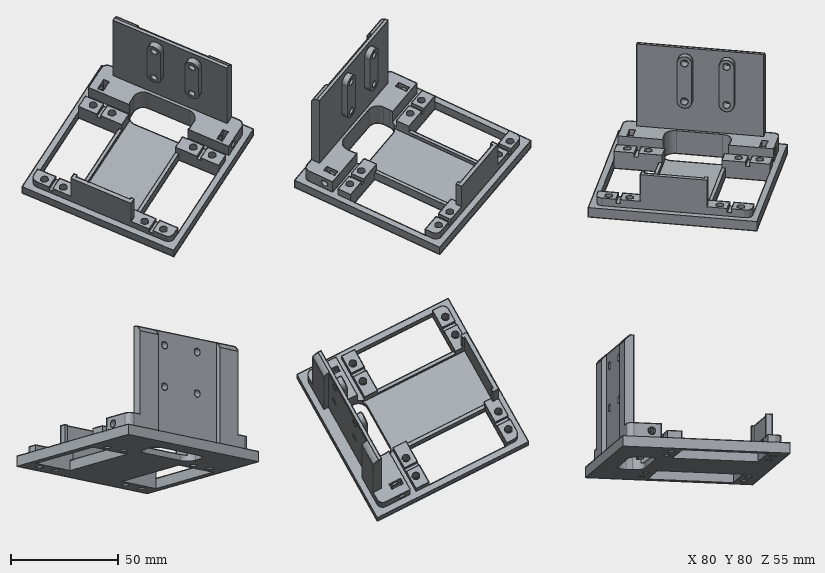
import cadquery as cq

side = 80.0
base_thickness = 5.0
margin = 3.0
inner_half = side / 2 - margin
corner_radius = margin
bay_width = 31.7

tray_width = 28.3
tray_depth = 2.0
tray_front = -35.0

block_depth = 16.0
block_top = 12.0
block_front = inner_half - block_depth
opening_rear = 31.0
opening_radius = 5.0

bar_depth = 6.9
bar_top = 9.0
bar_gap = margin
rear_bar_rear = block_front - bar_gap
rear_bar_front = rear_bar_rear - bar_depth
front_bar_rear = -inner_half + bar_depth

screw_diameter = 3.5
bar_hole_x = (21.4, 31.4)
rear_hole_y = 15.0
front_hole_y = -33.9
groove_width = 2.0
groove_depth = 2.1
groove_x = sum(bar_hole_x) / 2

wall_thickness = margin
wall_top = 23.0

plate_width = 60.2
plate_thickness = 4.5
plate_top = 55.0
plate_front = inner_half - plate_thickness
crown_size = 2.9
crown_radius = 5.6
recess_width = 37.8
recess_depth = 2.4

boss_width = 7.0
boss_height = 3.0
boss_hole_spacing = 20.0
boss_offset_x = 3.0
boss_centre_z = 38.5

trap_width = 2.8
trap_length = 5.9
trap_x = 31.4
trap_y = 25.4
side_hole_z = (base_thickness + block_top) / 2
side_hole_depth = 10.0


def box(x_min, x_max, y_min, y_max, z_min, z_max):
    """Axis-aligned box between the given limits."""
    size = (x_max - x_min, y_max - y_min, z_max - z_min)
    return cq.Workplane("XY").box(*size, centered=False).translate((x_min, y_min, z_min))


def centred_box(width, y_min, y_max, z_min, z_max):
    """Box that is symmetrical about the YZ plane."""
    return box(-width / 2, width / 2, y_min, y_max, z_min, z_max)


def make_base():
    """Square plate with a window on each side of the central strip."""
    base = centred_box(side, -side / 2, side / 2, 0, base_thickness)
    window = box(bay_width / 2, inner_half, front_bar_rear, rear_bar_front, 0, base_thickness)
    return base.cut(window).cut(window.mirror("YZ"))


def make_bars_and_block():
    """Front bar, rear bar and rear block; the outermost corners are rounded."""
    width = 2 * inner_half
    front_bar = centred_box(width, -inner_half, front_bar_rear, base_thickness, bar_top)
    front_bar = front_bar.edges("|Z and <Y").fillet(corner_radius)
    rear_bar = centred_box(width, rear_bar_front, rear_bar_rear, base_thickness, bar_top)
    block = centred_box(width, block_front, inner_half, base_thickness, block_top)
    block = block.edges("|Z and >Y").fillet(corner_radius)
    return front_bar.union(rear_bar).union(block)


def make_upright_plate():
    """Upright plate with a rounded rear top edge."""
    return (
        cq.Workplane("YZ", origin=(-plate_width / 2, 0, 0))
        .moveTo(plate_front, base_thickness)
        .lineTo(inner_half, base_thickness)
        .lineTo(inner_half, plate_top - crown_size)
        .radiusArc((inner_half - crown_size, plate_top), -crown_radius)
        .lineTo(plate_front, plate_top)
        .close()
        .extrude(plate_width)
    )


def boss_plane():
    """Workplane on the front of the upright plate, centred between the bosses and facing -Y."""
    return cq.Workplane("XZ", origin=(boss_offset_x, plate_front, boss_centre_z))


def make_bosses():
    """Two upright slot-shaped pads."""
    return (
        boss_plane()
        .pushPoints([(-boss_hole_spacing / 2, 0), (boss_hole_spacing / 2, 0)])
        .slot2D(boss_hole_spacing + boss_width, boss_width, 90)
        .extrude(boss_height)
    )


def make_boss_holes():
    """Four screw holes through the bosses and the upright plate."""
    return (
        boss_plane()
        .rect(boss_hole_spacing, boss_hole_spacing, forConstruction=True)
        .vertices()
        .circle(screw_diameter / 2)
        .extrude(boss_height + plate_thickness, both=True)
    )


def make_opening():
    """Rounded opening through the base and the front of the rear block."""
    opening = centred_box(bay_width, rear_bar_rear, opening_rear, 0, block_top)
    return opening.edges("|Z").fillet(opening_radius)


def make_bar_cuts():
    """Screw holes and grooves of the bars."""
    points = [(s * x, y) for s in (-1, 1) for x in bar_hole_x for y in (front_hole_y, rear_hole_y)]
    cuts = cq.Workplane("XY").pushPoints(points).circle(screw_diameter / 2).extrude(bar_top)
    for x in (-groove_x, groove_x):
        groove = box(
            x - groove_width / 2, x + groove_width / 2,
            -inner_half, rear_bar_rear, bar_top - groove_depth, bar_top,
        )
        cuts = cuts.union(groove)
    return cuts


def make_nut_trap():
    """Nut trap and side screw hole at the +X end of the rear block."""
    trap = box(
        trap_x - trap_width / 2, trap_x + trap_width / 2,
        trap_y - trap_length / 2, trap_y + trap_length / 2,
        base_thickness, block_top,
    )
    hole = (
        cq.Workplane("YZ", origin=(inner_half, trap_y, side_hole_z))
        .circle(screw_diameter / 2)
        .extrude(-side_hole_depth)
    )
    return trap.union(hole)


tray = centred_box(tray_width, tray_front, block_front, base_thickness - tray_depth, wall_top)
wall = centred_box(bay_width, -inner_half, -inner_half + wall_thickness, base_thickness, wall_top)
recess = centred_box(recess_width, inner_half - recess_depth, inner_half, base_thickness, plate_top)
nut_trap = make_nut_trap()

result = make_base().union(make_bars_and_block()).union(wall)
result = result.cut(make_bar_cuts()).cut(tray)
result = result.union(make_upright_plate()).union(make_bosses())
result = result.cut(recess).cut(make_boss_holes()).cut(make_opening())
result = result.cut(nut_trap).cut(nut_trap.mirror("YZ"))